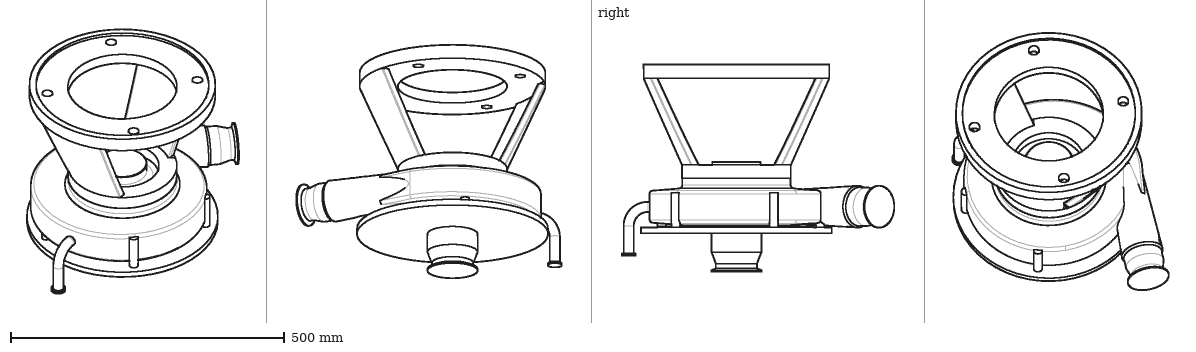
import cadquery as cq
import math


plate_diameter = 349.5
plate_thickness = 11.0
pad_radius = 141.0
pad_height = 2.0

discharge_angle = 45.0
swell_radius = 164.0
swell_center_x = -2.5
swell_center_y = 9.5
swell_end_x = 65.0
swell_end_y = 166.0
base_circle_radius = 154.5
casing_mid_z = 49.0
casing_half_height_at_hub = 34.0
casing_half_height_at_rim = 27.5
casing_cone_radius = 179.5
casing_rim_fillet = 6.0

post_count = 5
post_radius = 8.0
post_circle_radius = 154.5
post_start_angle = 26.2
post_top_z = 75.0

hub_radius = 99.5
hub_neck_radius = 99.0
hub_neck_top_z = 100.5
hub_top_z = 125.0
hub_flare = 6.0
hub_bore_radius = 67.0
hub_floor_z = 103.5
boss_radius = 44.5
boss_top_z = 131.0
boss_root_fillet = 11.0
boss_chamfer = 1.0

flange_diameter = 340.0
flange_radius = flange_diameter / 2
flange_bore_radius = hub_radius
flange_bottom_z = 283.5
flange_thickness = 26.0
flange_recess_radius = 158.0
flange_recess_depth = 5.5
bolt_hole_diameter = 19.0
bolt_circle_radius = 138.5
bolt_hole_count = 4
bolt_hole_start_angle = 45.0
leg_width_bottom = 111.5
leg_width_top = 130.5
leg_wall = 13.0
leg_edge_fillet = 2.0

inlet_radius = 46.0
inlet_neck_radius = 38.0
inlet_taper_start = 34.5
inlet_taper_end = 55.5
inlet_collar_start = 64.0
inlet_rim_start = 67.5
inlet_length = 70.5

outlet_root_offset = 142.0
outlet_root_radius = 31.0
outlet_axis_offset = 139.0
outlet_pipe_radius = 38.5
outlet_pipe_length = 174.5
outlet_shoulder_length = 4.5
outlet_spigot_radius = 35.5
outlet_taper_start = 197.5
outlet_taper_end = 217.0
outlet_neck_radius = 30.0
outlet_collar_start = 225.0
outlet_rim_start = 228.5
outlet_length = 231.0

drain_radius = 9.5
drain_y = -197.0
drain_z = 48.5
drain_bend_radius = 34.5
drain_bottom_z = -40.5
drain_foot_radius = 13.0
drain_foot_height = 4.5
drain_foot_chamfer = 1.5

arc_mid_fraction = 1 - math.sqrt(0.5)


def disc(radius, bottom, top):
    return cq.Workplane("XY").workplane(offset=bottom).circle(radius).extrude(top - bottom)


def revolved(points):
    """Solid of revolution about Z from (radius, height) points, closed along the axis."""
    return cq.Workplane("XZ").polyline(points).close().revolve(360, (0, 0, 0), (0, 1, 0))


def make_base():
    plate = disc(plate_diameter / 2, 0, plate_thickness)
    pad = disc(pad_radius, 0, plate_thickness + pad_height)
    return plate.union(pad)


def make_casing():
    hub_half = casing_half_height_at_hub
    rim_half = casing_half_height_at_rim
    double_cone = revolved([
        (0, casing_mid_z - hub_half),
        (hub_radius, casing_mid_z - hub_half),
        (casing_cone_radius, casing_mid_z - rim_half),
        (casing_cone_radius, casing_mid_z + rim_half),
        (hub_radius, casing_mid_z + hub_half),
        (0, casing_mid_z + hub_half),
    ])
    swell_top_y = swell_center_y + math.sqrt(swell_radius**2 - swell_center_x**2)
    base_end_y = math.sqrt(base_circle_radius**2 - swell_end_x**2)
    volute = (
        cq.Workplane("XY")
        .moveTo(0, -base_circle_radius)
        .threePointArc((swell_center_x - swell_radius, swell_center_y), (0, swell_top_y))
        .lineTo(swell_end_x, swell_end_y)
        .lineTo(swell_end_x, base_end_y)
        .threePointArc((base_circle_radius, 0), (0, -base_circle_radius))
        .close()
        .extrude(2 * casing_mid_z)
    )
    casing = double_cone.intersect(volute)
    outer_walls = casing.faces("%CYLINDER or (#Z and (not |X))")
    return outer_walls.edges("not |Z").fillet(casing_rim_fillet)


def make_discharge():
    cone = (
        cq.Workplane("YZ")
        .center(outlet_root_offset, casing_mid_z)
        .circle(outlet_root_radius)
        .workplane(offset=outlet_pipe_length)
        .center(outlet_axis_offset - outlet_root_offset, 0)
        .circle(outlet_pipe_radius)
        .loft(ruled=True)
    )
    spigot = revolved([
        (0, outlet_pipe_length),
        (outlet_pipe_radius, outlet_pipe_length),
        (outlet_spigot_radius, outlet_pipe_length + outlet_shoulder_length),
        (outlet_spigot_radius, outlet_taper_start),
        (outlet_neck_radius, outlet_taper_end),
        (outlet_neck_radius, outlet_collar_start),
        (outlet_pipe_radius, outlet_rim_start),
        (outlet_pipe_radius, outlet_length),
        (0, outlet_length),
    ])
    spigot = spigot.rotate((0, 0, 0), (0, 1, 0), 90)
    return cone.union(spigot.translate((0, outlet_axis_offset, casing_mid_z)))


def make_volute():
    volute = make_casing().union(make_discharge())
    return volute.rotate((0, 0, 0), (0, 0, 1), discharge_angle)


def make_posts():
    posts = cq.Workplane("XY").polarArray(post_circle_radius, post_start_angle, 360, post_count)
    return posts.circle(post_radius).extrude(post_top_z)


def make_hub():
    casing_top_z = casing_mid_z + casing_half_height_at_hub
    casing_bottom_z = casing_mid_z - casing_half_height_at_hub
    flare_arc_mid = hub_flare * arc_mid_fraction
    outline = (
        cq.Workplane("XZ")
        .moveTo(0, plate_thickness)
        .lineTo(hub_radius, plate_thickness)
        .lineTo(hub_radius, casing_bottom_z)
        .lineTo(hub_neck_radius + hub_flare, casing_top_z - hub_flare)
        .lineTo(hub_neck_radius + hub_flare, casing_top_z)
        .threePointArc(
            (hub_neck_radius + flare_arc_mid, casing_top_z + flare_arc_mid),
            (hub_neck_radius, casing_top_z + hub_flare),
        )
        .lineTo(hub_neck_radius, hub_neck_top_z)
        .lineTo(hub_radius, hub_neck_top_z)
        .lineTo(hub_radius, hub_top_z)
        .lineTo(0, hub_top_z)
        .close()
    )
    hub = outline.revolve(360, (0, 0, 0), (0, 1, 0))
    return hub.cut(disc(hub_bore_radius, hub_floor_z, hub_top_z))


def make_boss():
    root_arc_mid = boss_root_fillet * arc_mid_fraction
    outline = (
        cq.Workplane("XZ")
        .moveTo(0, hub_floor_z)
        .lineTo(boss_radius + boss_root_fillet, hub_floor_z)
        .threePointArc(
            (boss_radius + root_arc_mid, hub_floor_z + root_arc_mid),
            (boss_radius, hub_floor_z + boss_root_fillet),
        )
        .lineTo(boss_radius, boss_top_z - boss_chamfer)
        .lineTo(boss_radius - boss_chamfer, boss_top_z)
        .lineTo(0, boss_top_z)
        .close()
    )
    return outline.revolve(360, (0, 0, 0), (0, 1, 0))


def make_legs():
    """Two strips of a conical shell, cut to a width that grows towards the flange."""
    shell = revolved([
        (hub_radius - leg_wall, hub_top_z),
        (hub_radius, hub_top_z),
        (flange_radius, flange_bottom_z),
        (flange_radius - leg_wall, flange_bottom_z),
    ])
    strip = (
        cq.Workplane("XZ")
        .polyline([
            (-leg_width_bottom / 2, hub_top_z),
            (leg_width_bottom / 2, hub_top_z),
            (leg_width_top / 2, flange_bottom_z),
            (-leg_width_top / 2, flange_bottom_z),
        ])
        .close()
        .extrude(flange_radius, both=True)
    )
    return shell.intersect(strip).edges("not(>Z or <Z)").fillet(leg_edge_fillet)


def make_motor_flange():
    top_z = flange_bottom_z + flange_thickness
    flange = disc(flange_radius, flange_bottom_z, top_z)
    flange = flange.cut(disc(flange_bore_radius, flange_bottom_z, top_z))
    flange = flange.cut(disc(flange_recess_radius, top_z - flange_recess_depth, top_z))
    holes = (
        cq.Workplane("XY", origin=(0, 0, flange_bottom_z))
        .polarArray(bolt_circle_radius, bolt_hole_start_angle, 360, bolt_hole_count)
        .circle(bolt_hole_diameter / 2)
        .extrude(flange_thickness)
    )
    return flange.cut(holes)


def make_inlet():
    return revolved([
        (0, 0),
        (inlet_radius, 0),
        (inlet_radius, -inlet_taper_start),
        (inlet_neck_radius, -inlet_taper_end),
        (inlet_neck_radius, -inlet_collar_start),
        (inlet_radius, -inlet_rim_start),
        (inlet_radius, -inlet_length),
        (0, -inlet_length),
    ])


def make_drain():
    start_y = -base_circle_radius + drain_radius
    bend_start_y = drain_y + drain_bend_radius
    bend_end_z = drain_z - drain_bend_radius
    bend_mid = drain_bend_radius * arc_mid_fraction
    path = (
        cq.Workplane("YZ")
        .moveTo(start_y, drain_z)
        .lineTo(bend_start_y, drain_z)
        .threePointArc((drain_y + bend_mid, drain_z - bend_mid), (drain_y, bend_end_z))
        .lineTo(drain_y, drain_bottom_z)
    )
    tube = cq.Workplane("XZ", origin=(0, start_y, drain_z)).circle(drain_radius).sweep(path)
    foot = disc(drain_foot_radius, drain_bottom_z, drain_bottom_z + drain_foot_height)
    foot = foot.faces(">Z").chamfer(drain_foot_chamfer)
    return tube.union(foot.translate((0, drain_y, 0)))


result = make_hub()
for component in (
    make_boss(),
    make_legs(),
    make_motor_flange(),
    make_base(),
    make_inlet(),
    make_posts(),
    make_volute(),
    make_drain(),
):
    result = result.union(component)